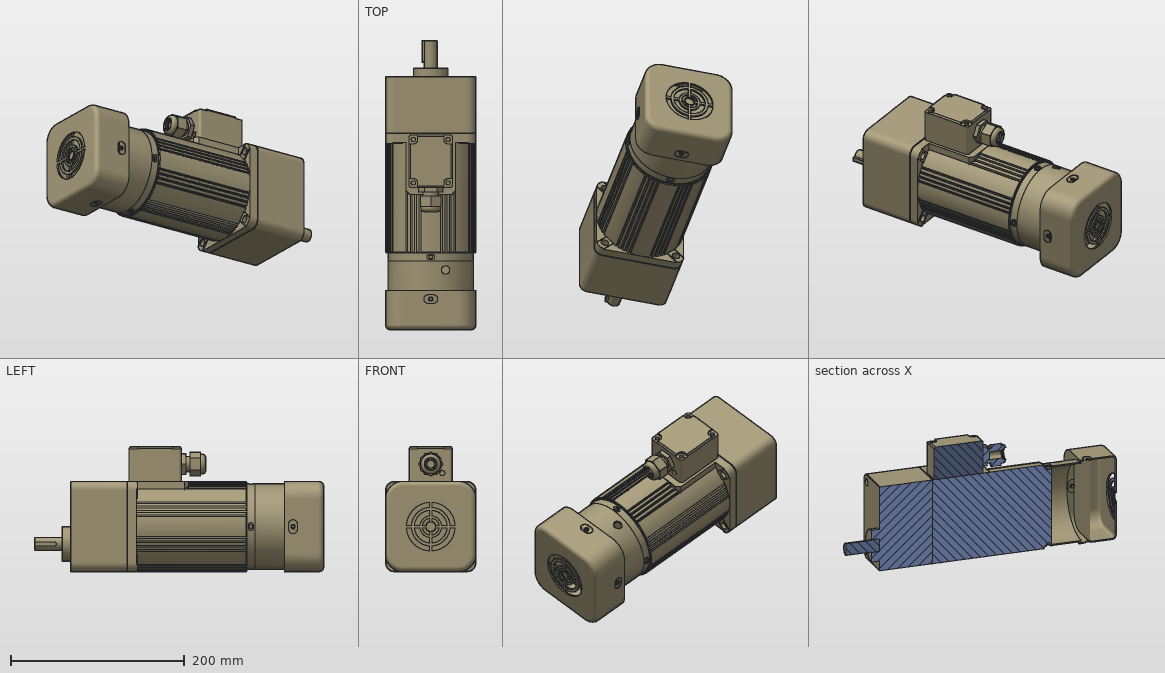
import cadquery as cq
import math


body_size = 104.0
half_body = body_size / 2
small_chamfer = 0.6

gearbox_end = -65.5
flange_end = gearbox_end - 10.5
frame_end = -203.0
seam = frame_end - 9.0
square_start = -246.0
rear_end = -291.5

corner_radius = 10.0
boss_diameter = 40.0
boss_length = 10.0
shaft_drop = 20.0
mount_hole_diameter = 8.5
mount_hole_offset = 120.0 / 2 / math.sqrt(2)

shaft_diameter = 15.0
shaft_projection = 41.5
key_width = 5.0
key_height = 5.0
key_length = 25.0
key_outer_x = -10.0

frame_radius = half_body
frame_end_chamfer = 1.0
groove_width = 2.0
groove_pitch = 5.0
groove_depth = 2.0
groove_centres = [12.5 + groove_pitch * i for i in range(4)]
pad_width = 57.0
pad_end = -135.8
pad_corner = 4.5
mount_pad_width = 12.0
mount_pad_height = 1.0
shield_radius = 49.5
notch_length = 9.0
notch_width = 5.5
notch_depth = 1.0
notch_hole_diameter = 4.0
notch_hole_depth = 4.0
notch_y = -207.5

cover_wall = 2.0
cover_bore_radius = shield_radius - cover_wall
cover_corner_radius = 20.0
cover_edge_radius = 5.5
baffle_y = rear_end + 32.2
baffle_thickness = 1.5
vent_rings = [(6.0, 9.7), (12.5, 18.8), (22.3, 28.0)]
vent_bar = 3.0
vent_hub_hole_radius = 5.5
screw_y = -256.0
screw_slot_length = 16.0
screw_slot_width = 10.0
screw_slot_depth = 0.7
screw_bore_diameter = 5.0
screw_bore_depth = 0.6
screw_hole_diameter = 3.0
cable_hole_diameter = 9.5
cable_hole_x = 17.0
cable_hole_y = -222.5

box_width = 50.0
box_length = 60.5
box_front = -127.6
box_centre_y = box_front + box_length / 2
box_top = 92.0
lid_height = 2.5
lid_chamfer = 1.5
box_corner_radius = 3.0
lid_screw_spacing = (40.0, 50.0)
lid_screw_diameter = 5.0
lid_screw_depth = 5.0
lid_notch_radius = 5.0
box_drain_diameter = 6.0
box_drain_depth = 3.0
box_drain_x = 13.3
box_drain_z = 61.6

gland_z = 72.0
gland_flats = 24.0
gland_base_length = 5.0
gland_neck_length = 4.5
gland_nut_length = 12.5
gland_dome_length = 6.0
gland_neck_diameter = 18.0
gland_dome_diameter = 23.0
gland_dome_edge_radius = 4.0
gland_bore_steps = [(15.0, 2.0), (12.0, 4.0), (9.0, 20.0)]


def section(y):
    """Sketch plane across the motor at station y; its X is X, its Y is Z, extrusion goes to -Y."""
    return cq.Workplane("XZ", origin=(0, y, 0))


def square_block(y_start, y_end, radius, size=body_size):
    """Square bar with rounded corners between two stations."""
    block = section(y_start).rect(size, size).extrude(y_start - y_end)
    return block.edges("|Y").fillet(radius)


def around_axis(shape, angle):
    return shape.rotate((0, 0, 0), (0, 1, 0), angle)


def mount_holes(y_start, y_end):
    spacing = 2 * mount_hole_offset
    holes = section(y_start).rect(spacing, spacing, forConstruction=True).vertices()
    return holes.circle(mount_hole_diameter / 2).extrude(y_start - y_end)


def radial_slot(top_z, y, length, width, depth):
    """Slot along X sunk from height top_z."""
    return cq.Workplane("XY", origin=(0, y, top_z)).slot2D(length, width).extrude(-depth)


def radial_hole(top_z, y, diameter, depth):
    return cq.Workplane("XY", origin=(0, y, top_z)).circle(diameter / 2).extrude(-depth)


def make_key():
    key_start = shaft_projection - key_length
    end_centre = key_start + key_width / 2
    bar_length = shaft_projection - end_centre
    plane = cq.Workplane("YZ", origin=(key_outer_x, 0, -shaft_drop))
    bar = plane.center(end_centre + bar_length / 2, 0).rect(bar_length, key_width).extrude(key_height)
    round_end = plane.center(end_centre, 0).circle(key_width / 2).extrude(key_height)
    return bar.union(round_end)


def shaft_blank():
    """Plain shaft, reaching down to the mounting face inside the boss."""
    shaft = section(shaft_projection).center(0, -shaft_drop)
    return shaft.circle(shaft_diameter / 2).extrude(shaft_projection)


def make_shaft():
    return shaft_blank().faces(">Y").chamfer(small_chamfer).cut(make_key())


def make_gearbox():
    housing = square_block(0, gearbox_end, corner_radius)
    housing = housing.faces("<Y or >Y").chamfer(small_chamfer)
    boss = section(boss_length).center(0, -shaft_drop).circle(boss_diameter / 2).extrude(boss_length)
    boss = boss.faces(">Y").chamfer(small_chamfer)
    return housing.union(boss).cut(mount_holes(0, gearbox_end)).cut(shaft_blank())


def groove_cutter():
    """Two mirrored groups of lengthwise grooves on the +Z side, floors following the round."""
    length = flange_end - frame_end
    positions = [(side * x, frame_radius / 2) for side in (-1, 1) for x in groove_centres]
    bars = section(flange_end).pushPoints(positions).rect(groove_width, frame_radius).extrude(length)
    core = section(flange_end).circle(frame_radius - groove_depth).extrude(length)
    return bars.cut(core)


def make_frame():
    frame = section(flange_end).circle(frame_radius).extrude(flange_end - frame_end)
    frame = frame.faces("<Y").chamfer(frame_end_chamfer)
    grooves = groove_cutter()
    for quarter in range(4):
        frame = frame.cut(around_axis(grooves, 90 * quarter))

    flange = square_block(gearbox_end, flange_end - mount_pad_height, corner_radius)
    relief_length = body_size * math.sqrt(2)
    relief = section(flange_end).rect(body_size, body_size).extrude(mount_pad_height)
    for angle in (45, -45):
        strip = section(flange_end).rect(relief_length, mount_pad_width).extrude(mount_pad_height)
        relief = relief.cut(around_axis(strip, angle))
    frame = frame.union(flange.cut(relief)).cut(mount_holes(gearbox_end, pad_end))

    pad = cq.Workplane("XY").rect(pad_width, flange_end - pad_end).extrude(half_body)
    pad = pad.translate((0, (flange_end + pad_end) / 2, 0))
    frame = frame.union(pad.edges("|Z and <Y").chamfer(pad_corner))

    shield = section(frame_end).circle(shield_radius).extrude(frame_end - seam)
    notch = radial_slot(shield_radius, notch_y, notch_length, notch_width, notch_depth)
    notch = notch.union(radial_hole(shield_radius, notch_y, notch_hole_diameter, notch_hole_depth))
    for quarter in range(4):
        shield = shield.cut(around_axis(notch, 90 * quarter))
    return frame.union(shield)


def vent_cutter():
    """Rings of vents crossed by two bars, around a hub hole, through the rear wall."""
    plane = section(rear_end + cover_wall)
    vents = plane.circle(vent_hub_hole_radius).extrude(cover_wall)
    bars = plane.rect(body_size, vent_bar).extrude(cover_wall)
    bars = bars.union(plane.rect(vent_bar, body_size).extrude(cover_wall))
    for inner, outer in vent_rings:
        ring = plane.circle(outer).circle(inner).extrude(cover_wall)
        vents = vents.union(ring.cut(bars))
    return vents


def make_cover():
    cover = square_block(square_start, rear_end, cover_corner_radius)
    cover = cover.faces("<Y").edges().fillet(cover_edge_radius)
    cover = cover.union(section(seam).circle(shield_radius).extrude(seam - square_start))

    hollow_start = square_start - cover_wall
    hollow_end = rear_end + cover_wall
    hollow_size = body_size - 2 * cover_wall
    hollow = square_block(hollow_start, hollow_end, cover_corner_radius - cover_wall, hollow_size)
    hollow = hollow.faces("<Y").edges().fillet(cover_edge_radius - cover_wall)
    baffle = section(baffle_y + baffle_thickness).rect(body_size, body_size).extrude(baffle_thickness)
    cover = cover.cut(hollow.cut(baffle))
    cover = cover.cut(section(seam).circle(cover_bore_radius).extrude(seam - hollow_start))
    cover = cover.cut(vent_cutter())

    screw = radial_slot(half_body, screw_y, screw_slot_length, screw_slot_width, screw_slot_depth)
    bore_depth = screw_slot_depth + screw_bore_depth
    screw = screw.union(radial_hole(half_body, screw_y, screw_bore_diameter, bore_depth))
    screw = screw.union(radial_hole(half_body, screw_y, screw_hole_diameter, half_body))
    for quarter in range(4):
        cover = cover.cut(around_axis(screw, 90 * quarter))

    cable_hole = radial_hole(half_body, cable_hole_y, cable_hole_diameter, half_body)
    return cover.cut(cable_hole.translate((cable_hole_x, 0, 0)))


def make_box():
    rim_z = box_top - lid_height
    plane = cq.Workplane("XY", origin=(0, box_centre_y, half_body))
    box = plane.rect(box_width, box_length).extrude(rim_z - half_body)
    box = box.edges("|Z").fillet(box_corner_radius)
    rim = plane.workplane(offset=rim_z - half_body)
    lid = rim.rect(box_width, box_length).extrude(lid_height)
    lid = lid.faces(">Z").chamfer(lid_height - small_chamfer, lid_chamfer)

    screw_points = rim.rect(*lid_screw_spacing, forConstruction=True).vertices()
    lid = lid.cut(screw_points.circle(lid_notch_radius).extrude(lid_height))
    corners = rim.rect(box_width, box_length, forConstruction=True).vertices()
    reach_x = box_width - lid_screw_spacing[0]
    reach_y = box_length - lid_screw_spacing[1]
    for extra_x, extra_y in ((2 * lid_notch_radius, 0), (0, 2 * lid_notch_radius)):
        lid = lid.cut(corners.rect(reach_x + extra_x, reach_y + extra_y).extrude(lid_height))

    holes = screw_points.circle(lid_screw_diameter / 2).extrude(-lid_screw_depth)
    drain = section(box_front + box_drain_depth).center(box_drain_x, box_drain_z)
    drain = drain.circle(box_drain_diameter / 2).extrude(box_drain_depth)
    return box.union(lid).cut(holes).cut(drain)


def make_gland():
    across_corners = gland_flats / math.cos(math.pi / 6)
    neck_y = box_front - gland_base_length
    nut_y = neck_y - gland_neck_length
    dome_y = nut_y - gland_nut_length
    tip_y = dome_y - gland_dome_length

    base = section(box_front).center(0, gland_z).polygon(6, across_corners).extrude(gland_base_length)
    neck = section(neck_y).center(0, gland_z).circle(gland_neck_diameter / 2).extrude(gland_neck_length)
    nut = section(nut_y).polygon(6, across_corners).extrude(gland_nut_length)
    nut = around_axis(nut, 30).translate((0, 0, gland_z))
    dome = section(dome_y).center(0, gland_z).circle(gland_dome_diameter / 2).extrude(gland_dome_length)
    dome = dome.faces("<Y").edges().fillet(gland_dome_edge_radius)

    gland = base.union(neck).union(nut).union(dome)
    for diameter, depth in gland_bore_steps:
        hole = section(tip_y + depth).center(0, gland_z).circle(diameter / 2).extrude(depth)
        gland = gland.cut(hole)
    return gland


gearbox = make_gearbox()
shaft = make_shaft()
key = make_key()
frame = make_frame()
cover = make_cover()
terminal_box = make_box()
gland = make_gland()

bodies = [gearbox, shaft, key, frame, cover, terminal_box, gland]
result = cq.Compound.makeCompound([body.solids().val() for body in bodies])